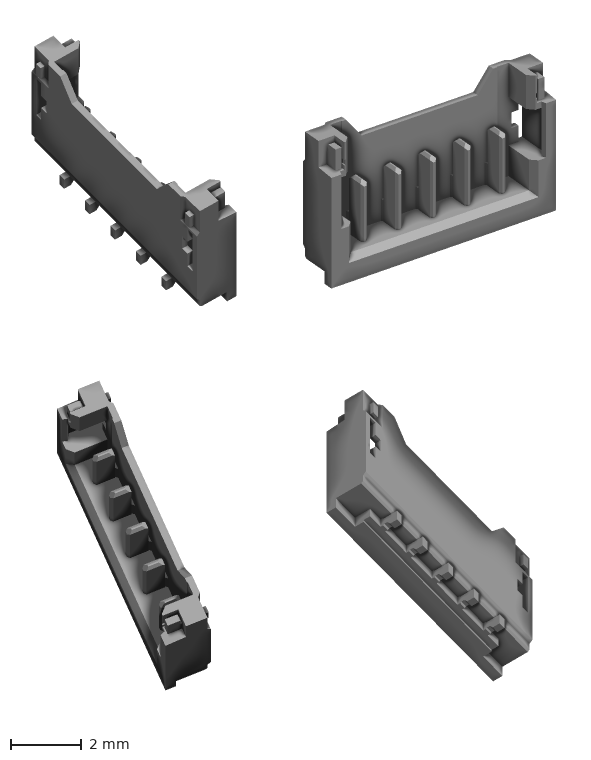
import cadquery as cq

WIDTH = 7.8
HEIGHT = 4.53
DEPTH = 1.4
PROUD = 0.055
HALF = WIDTH / 2

FOOT_Z = 0.02
UNDERSIDE_Z = 0.43
FRONT_STEP = 0.1
STEP_TOP_Z = 0.84
STEP_CHAMFER = 0.06
FOOT_FRONT_Y = 1.07
SHOULDER_BACK_Z = 3.62
SHOULDER_FRONT_Z = 3.67
SHOULDER_FRONT_Y = 0.765
SHOULDER_SLOPE = (SHOULDER_FRONT_Z - SHOULDER_BACK_Z) / (DEPTH - SHOULDER_FRONT_Y)
PILLAR_BACK_Y = 1.25
PILLAR_OUTER_X = HALF - 0.55

CAVITY_X = 3.1
CAVITY_FRONT_Y = 0.195
CAVITY_BACK_Y = 1.2
CAVITY_FLOOR_Z = 0.85
THICK_WALL_X = 2.7
THICK_WALL_Y = 0.22
CORNER_CUT = 0.195

NOTCH_TOP_X = 2.55
NOTCH_BOTTOM_X = 2.01
NOTCH_Z = 3.845

WINDOW_OUTER_X = 3.7
WINDOW_INNER_X = 3.45
WINDOW_BOTTOM_Z = 1.85
WINDOW_TOP_Z = 3.425
WINDOW_TAB_X = 3.205
WINDOW_TAB_BOTTOM_Z = 2.38
WINDOW_TAB_TOP_Z = 2.885
POCKET_TAPER_Y = 1.13
POCKET_WAIST_X = 3.495
POCKET_BACK_X = 3.55

GROOVE_DEPTH = 0.04
GROOVE_BOTTOM_Z = 3.78
GROOVE_TOP_Z = 3.955

RECESS_RUN = 0.11
RECESS_FLOOR_X = HALF - 0.68
RECESS_EDGE_X = RECESS_FLOOR_X - RECESS_RUN
RECESS_FLOOR_Z = 3.63
RECESS_EDGE_Z = RECESS_FLOOR_Z - RECESS_RUN

ANCHOR_X = HALF - 0.38
ANCHOR_WIDTH = 0.21
ANCHOR_BOTTOM_Z = 3.68
ANCHOR_PEG_TOP_Z = 4.135
ANCHOR_TOP_Z = 4.37
ANCHOR_BACK_Y = 1.21
ANCHOR_CHAMFER = 0.05

CONTACT_COUNT = 5
CONTACT_PITCH = 1.2
CONTACT_WIDTH = 0.22
CONTACT_TOP_Z = 0.39
TAIL_TOE_Y = 0.19
TAIL_ARCH_FRONT_Y = 0.3
TAIL_ARCH_BACK_Y = 0.4
TAIL_ARCH_Z = 0.14
TAIL_ARCH_RUN = 0.04
TAIL_NECK_Y = 0.46
CONTACT_BLOCK_X = 3.0
CONTACT_BLOCK_FRONT_Y = 0.53
CONTACT_BLOCK_STEP_Y = 0.765
CONTACT_BLOCK_STEP_Z = 0.1
PIN_FRONT_Y = 0.305
PIN_BACK_Y = 0.935
PIN_TOP_Z = 2.81
PIN_EDGE_CUT = 0.07
TIP_SIDE_CUT = 0.085
TIP_END_CUT = 0.155
RIB_BASE_WIDTH = 0.3
RIB_TIP_WIDTH = 0.15
RIB_TOP_Z = 1.56


def side_prism(points, width, centre_x=0.0):
    """Extrude a (Y, Z) outline along X, centred on centre_x."""
    prism = cq.Workplane("YZ").polyline(points).close().extrude(width / 2, both=True)
    return prism.translate((centre_x, 0, 0))


def plan_prism(points, bottom, top):
    """Extrude an (X, Y) outline from bottom to top."""
    return cq.Workplane("XY").workplane(offset=bottom).polyline(points).close().extrude(top - bottom)


def block(x0, x1, y0, y1, z0, z1):
    return cq.Workplane("XY").box(x1 - x0, y1 - y0, z1 - z0, centered=False).translate((x0, y0, z0))


def both_sides(shape):
    return shape.union(shape.mirror("YZ"))


def mirrored(points):
    """Join a right-hand chain of points to its mirror image in X."""
    return points + [(-x, y) for x, y in reversed(points)]


def housing_blank():
    return side_prism(
        [
            (0, STEP_TOP_Z),
            (FRONT_STEP, STEP_TOP_Z - FRONT_STEP),
            (FRONT_STEP, UNDERSIDE_Z + STEP_CHAMFER),
            (FRONT_STEP + STEP_CHAMFER, UNDERSIDE_Z),
            (FOOT_FRONT_Y, UNDERSIDE_Z),
            (FOOT_FRONT_Y, FOOT_Z),
            (DEPTH, FOOT_Z),
            (DEPTH, SHOULDER_BACK_Z),
            (PILLAR_BACK_Y, SHOULDER_BACK_Z + SHOULDER_SLOPE * (DEPTH - PILLAR_BACK_Y)),
            (PILLAR_BACK_Y, HEIGHT),
            (0, HEIGHT),
        ],
        WIDTH,
    )


def shoulder_cut():
    shoulder_width = HALF - PILLAR_OUTER_X
    return side_prism(
        [
            (SHOULDER_FRONT_Y, SHOULDER_FRONT_Z),
            (DEPTH, SHOULDER_BACK_Z),
            (DEPTH, HEIGHT),
            (SHOULDER_FRONT_Y, HEIGHT),
        ],
        shoulder_width,
        HALF - shoulder_width / 2,
    )


def fin_groove():
    return block(
        PILLAR_OUTER_X - GROOVE_DEPTH,
        PILLAR_OUTER_X,
        SHOULDER_FRONT_Y,
        PILLAR_BACK_Y,
        GROOVE_BOTTOM_Z,
        GROOVE_TOP_Z,
    )


def cavity():
    outline = mirrored(
        [
            (THICK_WALL_X, THICK_WALL_Y),
            (THICK_WALL_X, CAVITY_FRONT_Y),
            (CAVITY_X, CAVITY_FRONT_Y),
            (CAVITY_X, CAVITY_BACK_Y),
        ]
    )
    return plan_prism(outline, CAVITY_FLOOR_Z, HEIGHT)


def back_ramp_cut():
    """Opening in the back wall: a 45 degree ramp down from the floor, mitred at both ends."""
    run = DEPTH - CAVITY_BACK_Y
    outline = mirrored([(CAVITY_X, CAVITY_BACK_Y), (CAVITY_X + run, DEPTH)])
    above_ramp = side_prism(
        [
            (CAVITY_BACK_Y, CAVITY_FLOOR_Z),
            (DEPTH, CAVITY_FLOOR_Z - run),
            (DEPTH, HEIGHT),
            (CAVITY_BACK_Y, HEIGHT),
        ],
        WIDTH,
    )
    return plan_prism(outline, 0, HEIGHT).intersect(above_ramp)


def back_opening():
    outline = mirrored(
        [
            (CAVITY_X, PILLAR_BACK_Y - CORNER_CUT),
            (CAVITY_X + CORNER_CUT, PILLAR_BACK_Y),
            (POCKET_WAIST_X, PILLAR_BACK_Y),
            (POCKET_BACK_X, DEPTH),
        ]
    )
    return plan_prism(outline, WINDOW_BOTTOM_Z, HEIGHT)


def side_pocket():
    """Window through the front wall, its tab notch, and the pocket behind it."""
    window = block(WINDOW_INNER_X, WINDOW_OUTER_X, 0, CAVITY_FRONT_Y, WINDOW_BOTTOM_Z, WINDOW_TOP_Z)
    tab = block(WINDOW_TAB_X, WINDOW_INNER_X, 0, CAVITY_FRONT_Y, WINDOW_TAB_BOTTOM_Z, WINDOW_TAB_TOP_Z)
    pocket = plan_prism(
        [
            (CAVITY_X, CAVITY_FRONT_Y),
            (WINDOW_OUTER_X, CAVITY_FRONT_Y),
            (WINDOW_OUTER_X, POCKET_TAPER_Y),
            (POCKET_WAIST_X, PILLAR_BACK_Y),
            (CAVITY_X, PILLAR_BACK_Y),
        ],
        WINDOW_BOTTOM_Z,
        WINDOW_TOP_Z,
    )
    return window.union(tab).union(pocket)


def front_notch():
    outline = mirrored([(NOTCH_BOTTOM_X, NOTCH_Z), (NOTCH_TOP_X, HEIGHT)])
    return cq.Workplane("XZ").polyline(outline).close().extrude(-CAVITY_BACK_Y)


def corner_recess():
    """Shallow recess in a front top corner with sloping inner and lower sides."""
    below = side_prism(
        [(0, RECESS_EDGE_Z), (FRONT_STEP, RECESS_FLOOR_Z), (FRONT_STEP, HEIGHT), (0, HEIGHT)],
        WIDTH,
    )
    beside = plan_prism(
        [(RECESS_EDGE_X, 0), (RECESS_FLOOR_X, FRONT_STEP), (HALF, FRONT_STEP), (HALF, 0)],
        0,
        HEIGHT,
    )
    return below.intersect(beside)


def anchor():
    post_y = SHOULDER_FRONT_Y + ANCHOR_CHAMFER
    return side_prism(
        [
            (-PROUD, ANCHOR_BOTTOM_Z),
            (ANCHOR_BACK_Y, ANCHOR_BOTTOM_Z),
            (ANCHOR_BACK_Y, ANCHOR_TOP_Z),
            (post_y + ANCHOR_CHAMFER, ANCHOR_TOP_Z),
            (post_y, ANCHOR_TOP_Z - ANCHOR_CHAMFER),
            (post_y, ANCHOR_PEG_TOP_Z),
            (SHOULDER_FRONT_Y, ANCHOR_PEG_TOP_Z - ANCHOR_CHAMFER),
            (SHOULDER_FRONT_Y, ANCHOR_PEG_TOP_Z),
            (-PROUD, ANCHOR_PEG_TOP_Z),
        ],
        ANCHOR_WIDTH,
        ANCHOR_X,
    )


def contact_block():
    return side_prism(
        [
            (FOOT_FRONT_Y, UNDERSIDE_Z),
            (FOOT_FRONT_Y, FOOT_Z),
            (CONTACT_BLOCK_STEP_Y, FOOT_Z),
            (CONTACT_BLOCK_STEP_Y, CONTACT_BLOCK_STEP_Z),
            (CONTACT_BLOCK_FRONT_Y, CONTACT_BLOCK_STEP_Z),
            (CONTACT_BLOCK_FRONT_Y, UNDERSIDE_Z),
        ],
        2 * CONTACT_BLOCK_X,
    )


def solder_tail():
    return side_prism(
        [
            (-PROUD, 0),
            (TAIL_TOE_Y, 0),
            (TAIL_ARCH_FRONT_Y, TAIL_ARCH_Z),
            (TAIL_ARCH_BACK_Y, TAIL_ARCH_Z),
            (TAIL_ARCH_BACK_Y + TAIL_ARCH_RUN, CONTACT_BLOCK_STEP_Z),
            (CONTACT_BLOCK_FRONT_Y, CONTACT_BLOCK_STEP_Z),
            (CONTACT_BLOCK_FRONT_Y, UNDERSIDE_Z),
            (TAIL_NECK_Y, UNDERSIDE_Z),
            (TAIL_NECK_Y, CONTACT_TOP_Z),
            (-PROUD, CONTACT_TOP_Z),
        ],
        CONTACT_WIDTH,
    )


def pin():
    """Upright pin with bevelled back edges and a tip sloped on all four sides."""
    half = CONTACT_WIDTH / 2
    shaft = block(-half, half, PIN_FRONT_Y, PIN_BACK_Y, CAVITY_FLOOR_Z, PIN_TOP_Z)
    shaft = shaft.edges("|Z and >Y").chamfer(PIN_EDGE_CUT)
    side_outline = mirrored(
        [
            (half, CAVITY_FLOOR_Z),
            (half, PIN_TOP_Z - TIP_SIDE_CUT),
            (half - TIP_SIDE_CUT, PIN_TOP_Z),
        ]
    )
    side_limit = cq.Workplane("XZ").polyline(side_outline).close().extrude(-DEPTH)
    end_limit = side_prism(
        [
            (PIN_FRONT_Y, CAVITY_FLOOR_Z),
            (PIN_BACK_Y, CAVITY_FLOOR_Z),
            (PIN_BACK_Y, PIN_TOP_Z - TIP_END_CUT),
            (PIN_BACK_Y - TIP_END_CUT, PIN_TOP_Z),
            (PIN_FRONT_Y + TIP_END_CUT, PIN_TOP_Z),
            (PIN_FRONT_Y, PIN_TOP_Z - TIP_END_CUT),
        ],
        CONTACT_WIDTH,
    )
    return shaft.intersect(side_limit).intersect(end_limit)


def pin_rib():
    outline = mirrored([(RIB_BASE_WIDTH / 2, THICK_WALL_Y), (RIB_TIP_WIDTH / 2, PIN_FRONT_Y)])
    return plan_prism(outline, CAVITY_FLOOR_Z, RIB_TOP_Z)


housing = housing_blank().cut(both_sides(shoulder_cut())).cut(both_sides(fin_groove()))
housing = housing.cut(cavity()).cut(back_ramp_cut()).cut(back_opening()).cut(front_notch())
housing = housing.cut(both_sides(side_pocket())).cut(both_sides(corner_recess()))
result = housing.union(contact_block()).union(both_sides(anchor()))

contact = solder_tail().union(pin()).union(pin_rib())
for index in range(CONTACT_COUNT):
    offset = (index - (CONTACT_COUNT - 1) / 2) * CONTACT_PITCH
    result = result.union(contact.translate((offset, 0, 0)))